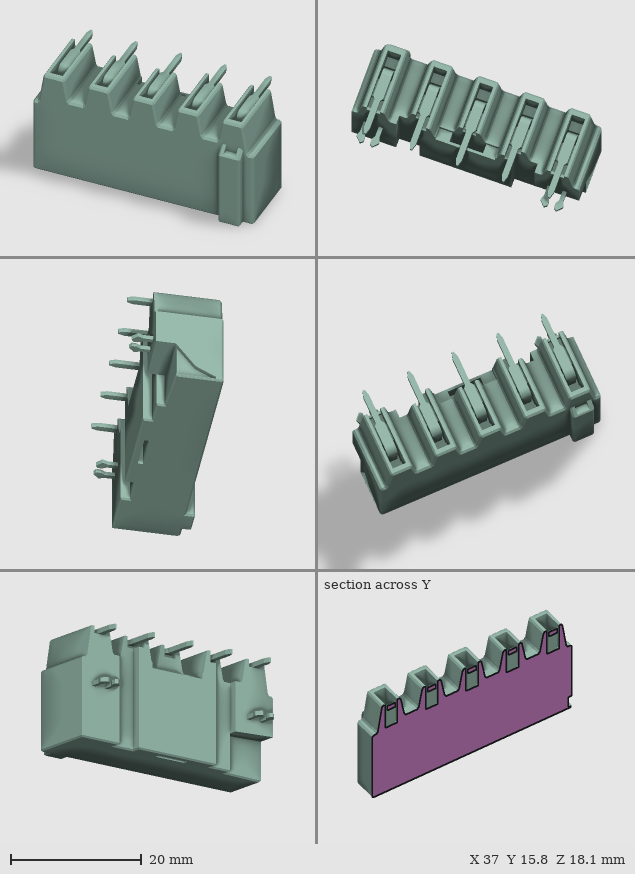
import cadquery as cq

LENGTH = 37.0
DEPTH = 10.62
HEIGHT = 18.1
PITCH = 7.47
POLES = 5

TOWER_HALF_TOP = 1.75
INNER_SLOPE = 0.19
OUTER_SLOPE = 0.16
VALLEY_Z = 14.15
SHOULDER_Z = 12.88
BEVEL = 0.35
FOOT_BEVEL_WIDTH = 0.2
CREST_BEVEL_WIDTH = 0.2
FRONT_BEVEL = 0.35
BOTTOM_BEVEL = 0.25
CORNER_RADIUS = 0.6

SLOT_WIDTH = 2.2
SLOT_FRONT_Y = 1.05
STEP_Y = 2.6
SEAT_FRONT_Y = 5.48
SEAT_BACK_Y = 8.35
END_SILL = 0.45
MIDDLE_SEAT_SHIFT = 0.37
STEP_Z = 14.25
WELL_Z = 13.32
TROUGH_Z = 16.28

PIN_TOP_Z = 17.7
PIN_THICKNESS = 0.78
PIN_WIDTH = 0.92
BLADE_WIDTH = 1.63
PIN_OVERHANG = 3.8
PIN_TAPER = 0.95
PIN_TIP_WIDTH = 0.35
PIN_NECK_Y = 8.85
BEND_FRONT_Y = 3.5
BEND_RADIUS = 1.2

BACK_CUT_DEPTH = 1.45
BACK_CUT_START = 11.25
MIDDLE_CUT_DEPTH = 1.9
MIDDLE_CUT_WIDTH = 9.7
LEDGE_Z = 13.32
WINDOW_WIDTH = 5.48
WINDOW_BAR = 0.4
WINDOW_OPENING = 0.78
WINDOW_STEP_Z = 10.35

NOTCH_DEPTH_Y = 3.07
NOTCH_HEIGHT = 6.48
NOTCH_DRAFT = 0.37
RECESS_DEPTH = 0.65
RECESS_FRONT_Y = 1.3
RECESS_FRONT_Z = 0.65
RECESS_FLOOR_Z = 0.35
RECESS_KINK_Y = 4.45
RECESS_KINK_Z = 2.33
RIB_SLANT = 0.3

KEY_WIDTH = 3.63
KEY_DEPTH = 1.37
KEY_TOP_Z = 13.9
KEY_BEVEL = 0.3
KEY_POCKET_WIDTH = 2.0
KEY_POCKET_Z = 12.75

LATCH_BOTTOM_Z = 8.45
LATCH_THICKNESS = 0.7
LEG_INNER = 0.9
LEG_OUTER = 1.55
BARB_INNER = 0.5
BARB_OUTER = 1.8
BARB_PEAK = 1.0
LEG_LENGTH = 1.6
BARB_WIDE = 2.25
BARB_SHOULDER = 2.48
BARB_TIP = 3.33
INNER_BARB_TOP = 3.0

EMBED = 0.37

LEFT = -LENGTH / 2
RIGHT = LENGTH / 2
PIN_BOTTOM_Z = PIN_TOP_Z - PIN_THICKNESS
NOTCH_Y = DEPTH - NOTCH_DEPTH_Y
MIDDLE = POLES // 2
pole_x = [(i - MIDDLE) * PITCH for i in range(POLES)]


def block(x0, x1, y0, y1, z0, z1):
    """Axis-aligned box between two corners."""
    return cq.Workplane("XY").box(x1 - x0, y1 - y0, z1 - z0, centered=False).translate((x0, y0, z0))


def tower_side(x, direction, slope, foot_z):
    """Points of one tower flank, listed from its foot up to its beveled crest."""

    def flank_x(z):
        return x + direction * (TOWER_HALF_TOP + slope * (HEIGHT - z))

    return [
        (flank_x(foot_z) + direction * FOOT_BEVEL_WIDTH, foot_z),
        (flank_x(foot_z + BEVEL), foot_z + BEVEL),
        (flank_x(HEIGHT - BEVEL), HEIGHT - BEVEL),
        (flank_x(HEIGHT) - direction * CREST_BEVEL_WIDTH, HEIGHT),
    ]


def make_teeth():
    """Block with a toothed top and beveled front edges."""
    outline = [(LEFT, 0), (LEFT, SHOULDER_Z - BEVEL), (LEFT + BEVEL, SHOULDER_Z)]
    for i, x in enumerate(pole_x):
        first = i == 0
        last = i == POLES - 1
        left_slope, left_foot = (OUTER_SLOPE, SHOULDER_Z) if first else (INNER_SLOPE, VALLEY_Z)
        right_slope, right_foot = (OUTER_SLOPE, SHOULDER_Z) if last else (INNER_SLOPE, VALLEY_Z)
        outline += tower_side(x, -1, left_slope, left_foot)
        outline += reversed(tower_side(x, 1, right_slope, right_foot))
    outline += [(RIGHT - BEVEL, SHOULDER_Z), (RIGHT, SHOULDER_Z - BEVEL), (RIGHT, 0)]
    teeth = cq.Workplane("XZ").polyline(outline).close().extrude(-DEPTH)
    return teeth.faces("<Y").edges().chamfer(FRONT_BEVEL)


def make_envelope():
    """Block with rounded front corners, notched at the back and end, with a beveled bottom rim."""
    envelope = block(LEFT, RIGHT, 0, DEPTH, 0, HEIGHT).edges("|Z and <Y").fillet(CORNER_RADIUS)
    envelope = envelope.cut(back_cuts()).cut(end_notch())
    return envelope.faces("<Z").edges().chamfer(BOTTOM_BEVEL)


def contact_slot(index):
    """Stepped slot that is open at the top and back of one tower."""
    x = pole_x[index]
    x0 = x - SLOT_WIDTH / 2
    x1 = x + SLOT_WIDTH / 2
    slot = block(x0, x1, SLOT_FRONT_Y, DEPTH, PIN_BOTTOM_Z, HEIGHT)
    slot = slot.union(block(x0, x1, SLOT_FRONT_Y, STEP_Y, STEP_Z, HEIGHT))
    slot = slot.union(block(x0, x1, STEP_Y, SEAT_FRONT_Y, WELL_Z, HEIGHT))
    is_end = index in (0, POLES - 1)
    trough_front = SEAT_BACK_Y - MIDDLE_SEAT_SHIFT if index == MIDDLE else SEAT_BACK_Y
    trough_back = DEPTH - END_SILL if is_end else DEPTH
    return slot.union(block(x0, x1, trough_front, trough_back, TROUGH_Z, HEIGHT))


def contact_pin(x):
    """Flat pin with a pointed tail, a wide blade and a front end bent down into the slot."""
    tip_y = DEPTH + PIN_OVERHANG
    right_side = [
        (BLADE_WIDTH / 2, BEND_FRONT_Y),
        (BLADE_WIDTH / 2, SEAT_BACK_Y),
        (PIN_WIDTH / 2, PIN_NECK_Y),
        (PIN_WIDTH / 2, tip_y - PIN_TAPER),
        (PIN_TIP_WIDTH / 2, tip_y),
    ]
    left_side = [(-px, py) for px, py in reversed(right_side)]
    plan = cq.Workplane("XY").polyline(right_side + left_side).close()
    plan = plan.extrude(PIN_TOP_Z - WELL_Z).translate((0, 0, WELL_Z))

    inner_radius = BEND_RADIUS - PIN_THICKNESS
    bend_y = BEND_FRONT_Y + BEND_RADIUS
    bend_z = PIN_TOP_Z - BEND_RADIUS
    diagonal = 0.5 ** 0.5
    side = (
        cq.Workplane("YZ")
        .moveTo(tip_y, PIN_TOP_Z)
        .lineTo(bend_y, PIN_TOP_Z)
        .threePointArc(
            (bend_y - BEND_RADIUS * diagonal, bend_z + BEND_RADIUS * diagonal),
            (BEND_FRONT_Y, bend_z),
        )
        .lineTo(BEND_FRONT_Y, WELL_Z)
        .lineTo(BEND_FRONT_Y + PIN_THICKNESS, WELL_Z)
        .lineTo(BEND_FRONT_Y + PIN_THICKNESS, bend_z)
        .threePointArc(
            (bend_y - inner_radius * diagonal, bend_z + inner_radius * diagonal),
            (bend_y, PIN_BOTTOM_Z),
        )
        .lineTo(tip_y, PIN_BOTTOM_Z)
        .close()
        .extrude(BLADE_WIDTH / 2, both=True)
    )
    return plan.intersect(side).translate((x, 0, 0))


def back_cuts():
    """Two full-height cuts in the back face, mirrored about the middle."""
    cut = block(PITCH, BACK_CUT_START, DEPTH - BACK_CUT_DEPTH, DEPTH, 0, HEIGHT)
    return cut.union(cut.mirror("YZ"))


def middle_cut():
    """Cut behind the middle tower that leaves a ledge with a stepped window."""
    half_cut = MIDDLE_CUT_WIDTH / 2
    half_window = WINDOW_WIDTH / 2
    front_y = DEPTH - MIDDLE_CUT_DEPTH
    opening_y = front_y + WINDOW_OPENING
    bar_y = DEPTH - WINDOW_BAR
    cut = block(-half_cut, half_cut, front_y, DEPTH, LEDGE_Z, HEIGHT)
    cut = cut.union(block(-half_window, half_window, front_y, opening_y, 0, LEDGE_Z))
    cut = cut.union(block(-half_window, half_window, opening_y, bar_y, WINDOW_STEP_Z, LEDGE_Z))
    return cut


def end_notch():
    """Drafted corner notch that runs in from the left end to the nearest back cut."""
    notch_length = LENGTH / 2 - BACK_CUT_START

    def section(draft):
        return [
            (DEPTH, 0),
            (DEPTH, NOTCH_HEIGHT - draft),
            (NOTCH_Y + draft, NOTCH_HEIGHT - draft),
            (NOTCH_Y + draft, 0),
        ]

    notch = cq.Workplane("YZ", origin=(LEFT, 0, 0)).polyline(section(0)).close()
    notch = notch.workplane(offset=notch_length).polyline(section(NOTCH_DRAFT)).close()
    return notch.loft(ruled=True)


def end_recess():
    """Shallow recess in the left end with a sloped roof, bounded by the rib beside the notch."""
    plan = [
        (LEFT, RECESS_FRONT_Y),
        (LEFT + RECESS_DEPTH, RECESS_FRONT_Y),
        (LEFT + RECESS_DEPTH, NOTCH_Y - RIB_SLANT),
        (LEFT, NOTCH_Y),
    ]
    footprint = cq.Workplane("XY").polyline(plan).close().extrude(HEIGHT)
    outline = [
        (RECESS_FRONT_Y, RECESS_FLOOR_Z),
        (RECESS_FRONT_Y, RECESS_FRONT_Z),
        (RECESS_KINK_Y, RECESS_KINK_Z),
        (NOTCH_Y, NOTCH_HEIGHT),
        (NOTCH_Y, RECESS_FLOOR_Z),
    ]
    face = cq.Workplane("YZ", origin=(LEFT, 0, 0)).polyline(outline).close().extrude(RECESS_DEPTH)
    return footprint.intersect(face)


def coding_key(x):
    """Upright key with a sloped top and a pocket cut into that slope."""
    profile = [
        (EMBED, 0),
        (-KEY_DEPTH, 0),
        (-KEY_DEPTH, KEY_TOP_Z - KEY_DEPTH),
        (EMBED, KEY_TOP_Z + EMBED),
    ]
    key = cq.Workplane("YZ").polyline(profile).close().extrude(KEY_WIDTH / 2, both=True)
    key = key.faces("<X or >X").edges("not >Y").chamfer(KEY_BEVEL)
    key = key.faces("<Z").edges("<Y").chamfer(BOTTOM_BEVEL)
    half_pocket = KEY_POCKET_WIDTH / 2
    pocket = block(-half_pocket, half_pocket, -KEY_DEPTH, 0, KEY_POCKET_Z, HEIGHT)
    return key.cut(pocket).translate((x, 0, 0))


def latch(x):
    """Mirrored pair of barbed legs that stand out from the back face."""
    leg_outline = [
        (LEG_INNER, DEPTH - EMBED),
        (LEG_INNER, DEPTH + LEG_LENGTH),
        (BARB_INNER, DEPTH + BARB_WIDE),
        (BARB_INNER, DEPTH + INNER_BARB_TOP),
        (BARB_PEAK, DEPTH + BARB_TIP),
        (BARB_OUTER, DEPTH + BARB_SHOULDER),
        (BARB_OUTER, DEPTH + BARB_WIDE),
        (LEG_OUTER, DEPTH + LEG_LENGTH),
        (LEG_OUTER, DEPTH - EMBED),
    ]
    leg = cq.Workplane("XY").polyline(leg_outline).close().extrude(LATCH_THICKNESS)
    return leg.union(leg.mirror("YZ")).translate((x, 0, LATCH_BOTTOM_Z))


result = make_teeth().intersect(make_envelope())
result = result.cut(middle_cut()).cut(end_recess())
for pole in range(POLES):
    result = result.cut(contact_slot(pole))
for center in pole_x:
    result = result.union(contact_pin(center))
for center in (pole_x[0], pole_x[-1]):
    result = result.union(latch(center))
result = result.union(coding_key(pole_x[-1]))